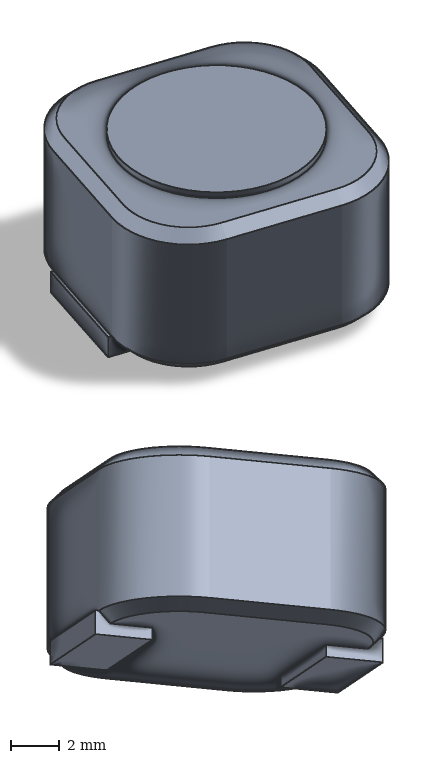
import cadquery as cq

total_height = 7.8
body_side = 12.3
terminal_span = 12.6

corner_radius = 3.5
edge_chamfer = 0.5
standoff = 0.5
disc_diameter = 9.0
disc_height = 0.3
body_height = total_height - standoff - disc_height

terminal_width = 5.2
terminal_length = 2.5
terminal_height = standoff + edge_chamfer


def make_terminal(side):
    """Terminal block on the -Y (side = -1) or +Y (side = 1) edge, resting on Z = 0."""
    center_y = side * (terminal_span - terminal_length) / 2
    return (
        cq.Workplane("XY")
        .center(0, center_y)
        .rect(terminal_width, terminal_length)
        .extrude(terminal_height)
    )


def make_housing(terminals):
    """Rounded square block with a raised disc on top and recesses for the terminals."""
    block = (
        cq.Workplane("XY", origin=(0, 0, standoff))
        .rect(body_side, body_side)
        .extrude(body_height)
        .edges("|Z")
        .fillet(corner_radius)
        .faces("<Z or >Z")
        .edges()
        .chamfer(edge_chamfer)
    )
    disc = (
        cq.Workplane("XY", origin=(0, 0, standoff + body_height))
        .circle(disc_diameter / 2)
        .extrude(disc_height)
    )
    housing = block.union(disc)
    for terminal in terminals:
        housing = housing.cut(terminal)
    return housing


terminals = [make_terminal(side) for side in (-1, 1)]
housing = make_housing(terminals)

result = cq.Compound.makeCompound([housing.val(), *[terminal.val() for terminal in terminals]])